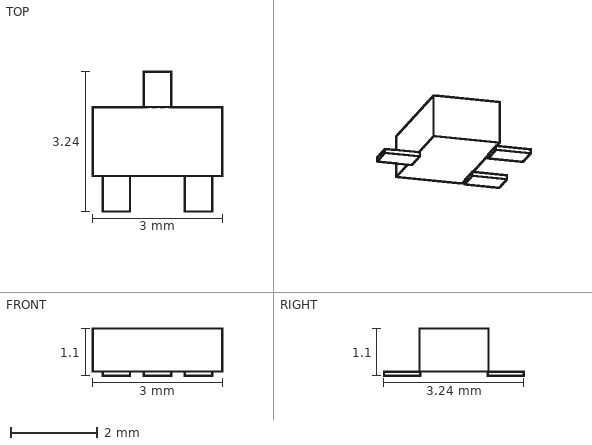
import cadquery as cq

body_length = 3.0
body_width = 1.6
body_height = 1.0

lead_width = 0.64
lead_length = 0.84
lead_thickness = 0.1
lead_pitch = 0.95
lead_tip_span = 3.24

lead_center_y = (lead_tip_span - lead_length) / 2


def make_body():
    """Plain block resting on top of the leads."""
    return (
        cq.Workplane("XY")
        .workplane(offset=lead_thickness)
        .rect(body_length, body_width)
        .extrude(body_height)
    )


def make_lead(center_x, center_y):
    """Flat strip whose inner end tucks slightly under the body."""
    return (
        cq.Workplane("XY")
        .center(center_x, center_y)
        .rect(lead_width, lead_length)
        .extrude(lead_thickness)
    )


lead_centers = [
    (-lead_pitch, -lead_center_y),
    (lead_pitch, -lead_center_y),
    (0, lead_center_y),
]

body = make_body()
leads = [make_lead(x, y) for x, y in lead_centers]

result = cq.Compound.makeCompound([body.val(), *[lead.val() for lead in leads]])